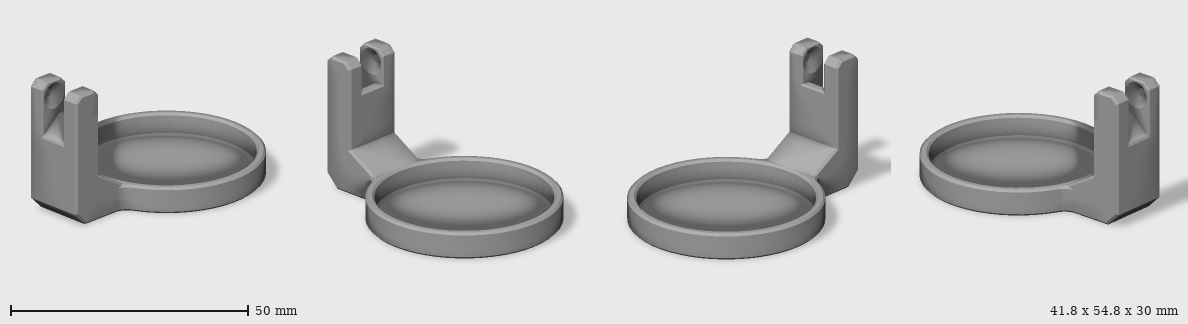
import cadquery as cq
import math

tray_radius = 20.9
tray_height = 5.95
pocket_radius = 38.0 / 2
floor_thickness = 1.0
edge_chamfer = 0.5

arm_width = 14.0
arm_front = tray_radius - 54.75
arm_height = 30.0
upright_depth = 7.0
heel_chamfer = 3.0
top_chamfer = 1.5
ramp_back = -19.6
ramp_angle = 30
root_fillet = 3.0

slot_width = 6.15
slot_front_height = 17.95
slot_back_height = 22.0
slot_flat_depth = 1.9
slot_chamfer = 0.35
socket_diameter = 5.9
socket_end_diameter = 1.95
socket_depth = 1.95
socket_drop = 3.5

upright_back = arm_front + upright_depth
upright_middle = arm_front + upright_depth / 2
ramp_rise = (ramp_back - upright_back) * math.tan(math.radians(ramp_angle))


def make_tray():
    """Chamfered disc with a short neck blended into its rim."""
    neck_length = -(arm_front + upright_back) / 2
    neck = (
        cq.Workplane("XY")
        .center(0, -neck_length / 2)
        .rect(arm_width, neck_length)
        .extrude(tray_height)
    )
    disc = cq.Workplane("XY").circle(tray_radius).extrude(tray_height)
    join_y = -math.sqrt(tray_radius**2 - (arm_width / 2) ** 2)
    tray = disc.union(neck)
    for side in (-1, 1):
        join_point = (side * arm_width / 2, join_y, tray_height / 2)
        join = cq.selectors.NearestToPointSelector(join_point)
        tray = tray.edges("|Z").edges(join).fillet(root_fillet)
    return tray.faces("<Z or >Z").edges().chamfer(edge_chamfer)


def make_arm():
    """Bent arm: foot, sloped ramp and upright, chamfered along both sides."""
    arm = (
        cq.Workplane("YZ")
        .moveTo(ramp_back, 0)
        .lineTo(arm_front + heel_chamfer, 0)
        .lineTo(arm_front, heel_chamfer)
        .lineTo(arm_front, arm_height - top_chamfer)
        .lineTo(arm_front + top_chamfer, arm_height)
        .lineTo(upright_back - top_chamfer, arm_height)
        .lineTo(upright_back, arm_height - top_chamfer)
        .lineTo(upright_back, tray_height + ramp_rise)
        .lineTo(ramp_back, tray_height)
        .close()
        .extrude(arm_width / 2, both=True)
    )
    return arm.faces("<X or >X").edges().chamfer(edge_chamfer)


def make_pocket():
    """Tray recess, tapered at the floor and flared at the rim."""
    flare = pocket_radius + edge_chamfer
    return (
        cq.Workplane("XZ")
        .moveTo(0, floor_thickness)
        .lineTo(pocket_radius - edge_chamfer, floor_thickness)
        .lineTo(pocket_radius, floor_thickness + edge_chamfer)
        .lineTo(pocket_radius, tray_height - edge_chamfer)
        .lineTo(flare, tray_height)
        .lineTo(0, tray_height)
        .close()
        .revolve(360, (0, 0, 0), (0, 1, 0))
    )


def cut_slot(body):
    """Cut the fork slot, whose floor rises to a flat, and chamfer its mouths."""
    slot = (
        cq.Workplane("YZ")
        .moveTo(arm_front, slot_front_height)
        .lineTo(upright_back - slot_flat_depth, slot_back_height)
        .lineTo(upright_back, slot_back_height)
        .lineTo(upright_back, arm_height)
        .lineTo(arm_front, arm_height)
        .close()
        .extrude(slot_width / 2, both=True)
    )
    body = body.cut(slot)
    reach = slot_width / 2 + slot_chamfer / 2
    low = (-reach, arm_front - top_chamfer, slot_front_height - slot_chamfer)
    high = (reach, upright_back + top_chamfer, arm_height + top_chamfer)
    slot_edges = cq.selectors.BoxSelector(low, high)
    inner_low = (-reach, arm_front + top_chamfer, slot_front_height)
    inner_high = (reach, upright_back - slot_chamfer, slot_back_height + slot_chamfer)
    inner_edges = cq.selectors.BoxSelector(inner_low, inner_high)
    return body.edges(slot_edges - inner_edges).chamfer(slot_chamfer)


def make_socket(side):
    """Flat-ended cone sunk into one slot wall."""
    cone = cq.Solid.makeCone(
        socket_diameter / 2,
        socket_end_diameter / 2,
        socket_depth,
        pnt=cq.Vector(side * slot_width / 2, upright_middle, arm_height - socket_drop),
        dir=cq.Vector(side, 0, 0),
    )
    return cq.Workplane(obj=cone)


result = make_tray().union(make_arm()).cut(make_pocket())
result = cut_slot(result)
for side in (-1, 1):
    result = result.cut(make_socket(side))